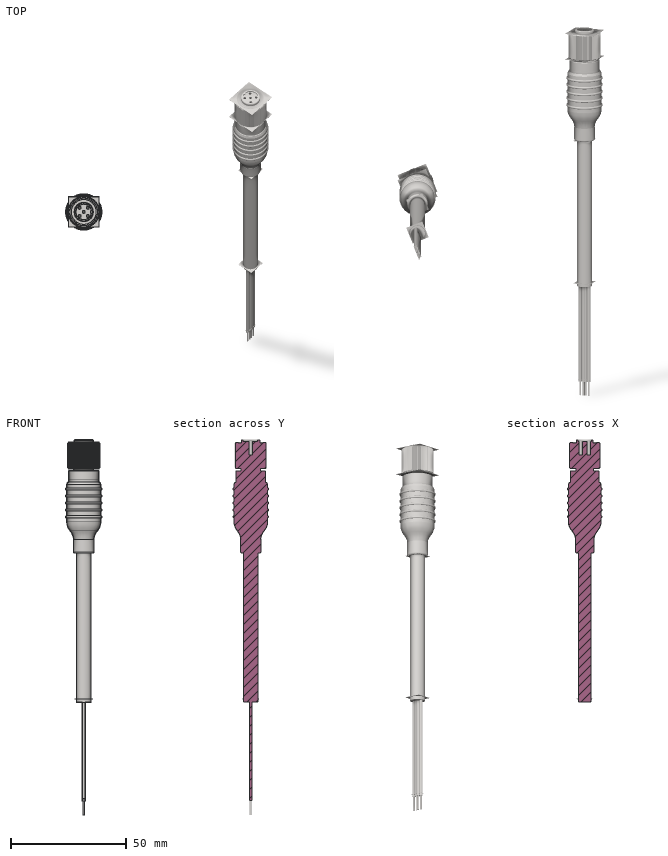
import cadquery as cq
import math

TOTAL_LENGTH = 163.19

INSERT_RADIUS = 4.15
INSERT_RIM_WIDTH = 0.8
INSERT_RIM_CHAMFER = 0.25
NECK_RADIUS = 4.35
INSERT_RECESS_DEPTH = 0.6
CONTACT_CIRCLE_RADIUS = 2.5
CONTACT_COUNT = 4
CONTACT_HOLE_RADIUS = 0.6
CONTACT_HOLE_DEPTH = 6.0
KEY_RADIUS = 0.5

NUT_RADIUS = 7.05
NUT_CHAMFER = 0.6
NUT_LENGTH = 11.6
NUT_BORE_RADIUS = 5.4
NUT_LEAD_IN_RADIUS = 6.0
NUT_RECESS_DEPTH = 0.2
KNURL_COUNT = 90
KNURL_DEPTH = 0.3
KNURL_FILL = 0.9

COLLAR_RADIUS = 6.55
COLLAR_CHAMFER = 0.2
COLLAR_FOOT_RADIUS = 6.6
BODY_RADIUS = 7.45
BODY_EDGE = 0.5
RIB_RADIUS = 15.77 / 2
RIB_WIDTH = 1.0
RIB_COUNT = 5
RIB_PITCH = 3.02
SHOULDER_RADIUS = 6.0
SLEEVE_RADIUS = 4.5
SLEEVE_STEP = 0.1
SLEEVE_FILLET = 0.7

CABLE_RADIUS = 3.25
WIRE_RADIUS = 0.73
CONDUCTOR_RADIUS = 0.35
OUTER_WIRE_OFFSET = 1.95
INNER_WIRE_OFFSET = 0.48
WIRE_OFFSETS = (
    -OUTER_WIRE_OFFSET,
    -INNER_WIRE_OFFSET,
    INNER_WIRE_OFFSET,
    OUTER_WIRE_OFFSET,
)

FLANGE_THICKNESS = 0.1
NUT_FLANGE_WIDTH = 13.3
SLEEVE_FLANGE_WIDTH = 7.6
CABLE_FLANGE_WIDTH = 7.5
WIRE_FLANGE_WIDTH = 2 * WIRE_RADIUS

NUT_TOP = TOTAL_LENGTH - 1.05
NUT_BOTTOM = NUT_TOP - NUT_LENGTH
COLLAR_TOP = TOTAL_LENGTH - 13.4
COLLAR_STEP = TOTAL_LENGTH - 17.4
BODY_TOP = TOTAL_LENGTH - 18.4
FIRST_RIB = TOTAL_LENGTH - 21.45
SHOULDER_START = TOTAL_LENGTH - 35.6
SHOULDER_END = TOTAL_LENGTH - 39.5
SLEEVE_TOP = TOTAL_LENGTH - 43.3
SLEEVE_BOTTOM = TOTAL_LENGTH - 49.3
CABLE_FLANGE_LEVEL = TOTAL_LENGTH - 112.8
CABLE_BOTTOM = TOTAL_LENGTH - 114.2
WIRE_FLANGE_LEVEL = TOTAL_LENGTH - 156.1
WIRE_BOTTOM = TOTAL_LENGTH - 157.0


def cylinder(radius, bottom, top, x=0, y=0):
    """Upright cylinder between two levels."""
    return cq.Workplane("XY", origin=(x, y, bottom)).circle(radius).extrude(top - bottom)


def square_flange(width, bottom, y=0):
    """Thin square plate across the axis."""
    return cq.Workplane("XY", origin=(0, y, bottom)).rect(width, width).extrude(FLANGE_THICKNESS)


def make_nut():
    """Chamfered coupling nut with V-shaped knurling grooves."""
    nut = cylinder(NUT_RADIUS, NUT_BOTTOM, NUT_TOP).edges().chamfer(NUT_CHAMFER)
    pitch = 2 * math.pi / KNURL_COUNT
    half_width = NUT_RADIUS * math.tan(KNURL_FILL * pitch / 2)
    groove = (
        cq.Workplane("XY", origin=(0, 0, NUT_BOTTOM))
        .polyline([
            (NUT_RADIUS - KNURL_DEPTH, 0),
            (NUT_RADIUS, half_width),
            (NUT_RADIUS + KNURL_DEPTH, 0),
            (NUT_RADIUS, -half_width),
        ])
        .close()
        .extrude(NUT_LENGTH)
        .val()
    )
    axis_start, axis_end = (0, 0, 0), (0, 0, 1)
    grooves = [groove.rotate(axis_start, axis_end, math.degrees(i * pitch)) for i in range(KNURL_COUNT)]
    return cq.Workplane(nut.val().cut(*grooves))


def make_insert():
    """Contact carrier inside the nut, on a short neck that joins the grip body."""
    carrier = cylinder(INSERT_RADIUS, NUT_BOTTOM, TOTAL_LENGTH).faces(">Z").chamfer(INSERT_RIM_CHAMFER)
    neck = cylinder(NECK_RADIUS, COLLAR_TOP, NUT_BOTTOM)
    return carrier.union(neck)


def cut_nut_recess(part):
    """Shallow ring recess between the insert and the nut rim, with a tapered outer wall."""
    floor = NUT_TOP - NUT_RECESS_DEPTH
    recess = (
        cq.Workplane("XZ")
        .polyline([
            (INSERT_RADIUS, floor),
            (NUT_BORE_RADIUS, floor),
            (NUT_LEAD_IN_RADIUS, NUT_TOP),
            (INSERT_RADIUS, NUT_TOP),
        ])
        .close()
        .revolve(360, (0, 0, 0), (0, 1, 0))
    )
    return part.cut(recess)


def cut_contacts(part):
    """Recessed contact face with a coding key, a ring of contact holes and a centre hole."""
    floor = TOTAL_LENGTH - INSERT_RECESS_DEPTH
    recess_radius = INSERT_RADIUS - INSERT_RIM_WIDTH
    recess = cylinder(recess_radius, floor, TOTAL_LENGTH)
    key = cylinder(KEY_RADIUS, floor, TOTAL_LENGTH, x=recess_radius)
    holes = (
        cq.Workplane("XY", origin=(0, 0, floor - CONTACT_HOLE_DEPTH))
        .polarArray(CONTACT_CIRCLE_RADIUS, 180 / CONTACT_COUNT, 360, CONTACT_COUNT)
        .circle(CONTACT_HOLE_RADIUS)
        .extrude(CONTACT_HOLE_DEPTH)
    )
    centre_hole = cylinder(CONTACT_HOLE_RADIUS, floor - CONTACT_HOLE_DEPTH, floor)
    return part.cut(recess.cut(key)).cut(holes).cut(centre_hole)


def make_grip():
    """Revolved grip: collar, ribbed barrel, rounded shoulder and cable sleeve."""
    outline = (
        cq.Workplane("XZ")
        .moveTo(0, COLLAR_TOP)
        .lineTo(COLLAR_RADIUS - COLLAR_CHAMFER, COLLAR_TOP)
        .lineTo(COLLAR_RADIUS, COLLAR_TOP - COLLAR_CHAMFER)
        .lineTo(COLLAR_RADIUS, COLLAR_STEP)
        .lineTo(COLLAR_FOOT_RADIUS, BODY_TOP)
        .lineTo(BODY_RADIUS - BODY_EDGE, BODY_TOP)
        .lineTo(BODY_RADIUS, BODY_TOP - 2 * BODY_EDGE)
    )
    for i in range(RIB_COUNT):
        level = FIRST_RIB - i * RIB_PITCH
        outline = (
            outline.lineTo(BODY_RADIUS, level + RIB_WIDTH / 2)
            .threePointArc((RIB_RADIUS, level), (BODY_RADIUS, level - RIB_WIDTH / 2))
        )
    return (
        outline.lineTo(BODY_RADIUS, SHOULDER_START)
        .tangentArcPoint((SHOULDER_RADIUS, SHOULDER_END), relative=False)
        .tangentArcPoint((SLEEVE_RADIUS - SLEEVE_STEP, SLEEVE_TOP), relative=False)
        .lineTo(SLEEVE_RADIUS, SLEEVE_TOP)
        .lineTo(SLEEVE_RADIUS, SLEEVE_BOTTOM + SLEEVE_FILLET)
        .tangentArcPoint((-SLEEVE_FILLET, -SLEEVE_FILLET))
        .lineTo(0, SLEEVE_BOTTOM)
        .close()
        .revolve(360, (0, 0, 0), (0, 1, 0))
    )


def make_wire(y):
    """Insulated wire with a bare conductor end."""
    insulation = cylinder(WIRE_RADIUS, WIRE_BOTTOM, CABLE_BOTTOM, y=y)
    conductor = cylinder(CONDUCTOR_RADIUS, 0, WIRE_BOTTOM, y=y)
    flange = square_flange(WIRE_FLANGE_WIDTH, WIRE_FLANGE_LEVEL, y=y)
    return insulation.union(conductor).union(flange)


part = make_grip().union(make_insert()).union(make_nut())
part = part.union(cylinder(CABLE_RADIUS, CABLE_BOTTOM, SLEEVE_BOTTOM))
for wire_y in WIRE_OFFSETS:
    part = part.union(make_wire(wire_y))
part = part.union(square_flange(NUT_FLANGE_WIDTH, NUT_TOP - FLANGE_THICKNESS))
part = part.union(square_flange(NUT_FLANGE_WIDTH, NUT_BOTTOM))
part = part.union(square_flange(SLEEVE_FLANGE_WIDTH, SLEEVE_BOTTOM))
part = part.union(square_flange(CABLE_FLANGE_WIDTH, CABLE_FLANGE_LEVEL))

result = cut_contacts(cut_nut_recess(part))